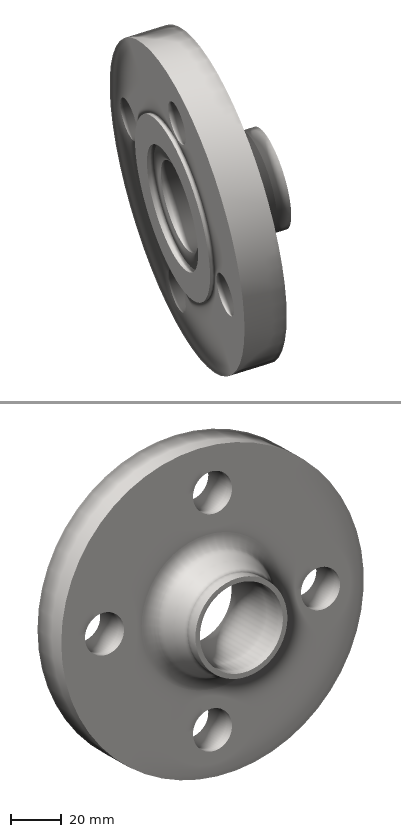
import cadquery as cq
import math

flange_diameter = 140.0
flange_thickness = 18.0
total_length = 42.0
raised_face_diameter = 78.0
raised_face_height = 2.0
recess_diameter = 53.0
recess_depth = 3.0
bore_diameter = 38.4
neck_diameter = 42.5
neck_length = 6.0
hub_diameter = 53.8
hub_root_height = 3.8
bolt_circle_diameter = 100.0
bolt_hole_diameter = 18.0
bolt_hole_count = 4

flange_back = raised_face_height + flange_thickness
cone_start = flange_back + hub_root_height
cone_end = total_length - neck_length

hub_radius = hub_diameter / 2
neck_radius = neck_diameter / 2
cone_angle = math.atan2(hub_radius - neck_radius, cone_end - cone_start)
fillet_radius = hub_root_height / (1 - math.sin(cone_angle))
fillet_center_x = hub_radius + fillet_radius * math.cos(cone_angle)
fillet_center_y = flange_back + fillet_radius
fillet_mid_angle = (math.pi / 2 - cone_angle) / 2 + cone_angle
fillet_middle = (
    fillet_center_x - fillet_radius * math.cos(fillet_mid_angle),
    fillet_center_y - fillet_radius * math.sin(fillet_mid_angle),
)


def flange_body():
    """Revolve the half section of the flange, with its bore and recess."""
    return (
        cq.Workplane("XY")
        .moveTo(recess_diameter / 2, 0)
        .lineTo(raised_face_diameter / 2, 0)
        .lineTo(raised_face_diameter / 2, raised_face_height)
        .lineTo(flange_diameter / 2, raised_face_height)
        .lineTo(flange_diameter / 2, flange_back)
        .lineTo(fillet_center_x, flange_back)
        .threePointArc(fillet_middle, (hub_radius, cone_start))
        .lineTo(neck_radius, cone_end)
        .lineTo(neck_radius, total_length)
        .lineTo(bore_diameter / 2, total_length)
        .lineTo(bore_diameter / 2, recess_depth)
        .lineTo(recess_diameter / 2, recess_depth)
        .close()
        .revolve(360, (0, 0, 0), (0, 1, 0))
    )


def bolt_holes():
    """Through holes on the bolt circle, one on each of the X and Z axes' ends."""
    return (
        cq.Workplane("XZ")
        .polarArray(bolt_circle_diameter / 2, 0, 360, bolt_hole_count)
        .circle(bolt_hole_diameter / 2)
        .extrude(-total_length)
    )


result = flange_body().cut(bolt_holes())